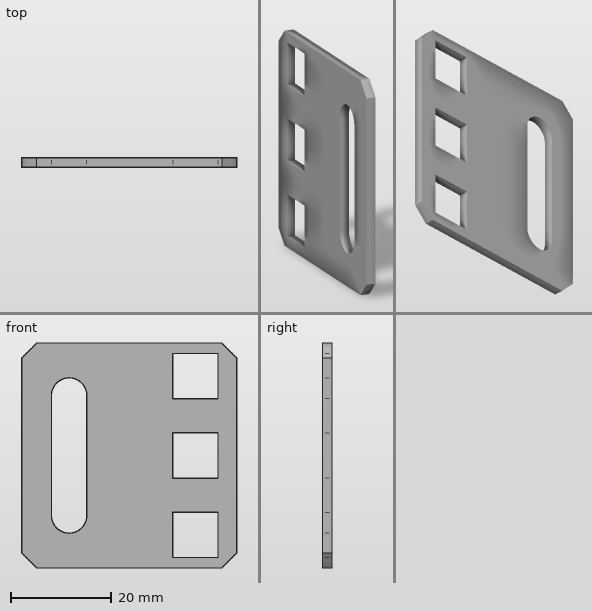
import cadquery as cq

plate_width = 43.0
plate_thickness = 2.0
plate_height = 45.0
corner_chamfer = 3.0

slot_width = 7.0
slot_length = 31.0
slot_edge_gap = 6.0
slot_x = -plate_width / 2 + slot_edge_gap + slot_width / 2

window_size = 9.0
window_pitch = 15.9
window_count = 3
window_edge_gap = 3.8
window_x = plate_width / 2 - window_edge_gap - window_size / 2


def make_plate():
    plate = cq.Workplane("XY").box(plate_width, plate_thickness, plate_height)
    return plate.edges("|Y").chamfer(corner_chamfer)


def make_slot():
    return (
        cq.Workplane("XZ")
        .center(slot_x, 0)
        .slot2D(slot_length, slot_width, 90)
        .extrude(plate_thickness, both=True)
    )


def make_windows():
    return (
        cq.Workplane("XZ")
        .center(window_x, 0)
        .rarray(0.45, window_pitch, 1, window_count)
        .rect(window_size, window_size)
        .extrude(plate_thickness, both=True)
    )


result = make_plate().cut(make_slot()).cut(make_windows())